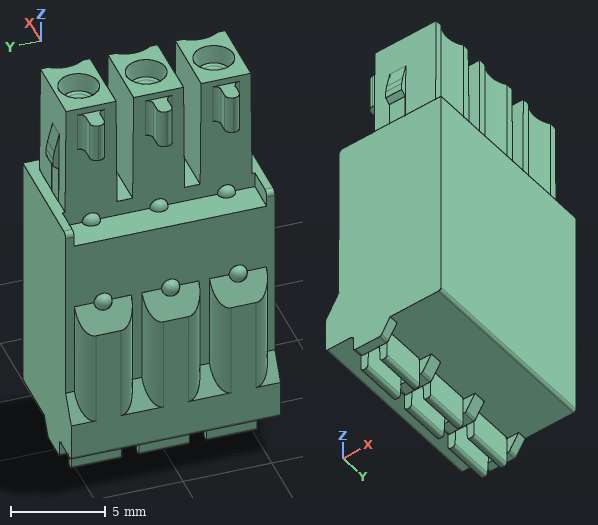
import cadquery as cq
import math


POLES = 3
PITCH = 3.81
POLE_POSITIONS = [(i - (POLES - 1) / 2) * PITCH for i in range(POLES)]

DEPTH = 7.75
WIDTH = 11.82
HOUSING_TOP = 14.25
FRONT_X = 0.9
SLOPE_START_Z = 2.26
SLOPE_END_Z = 3.8
BOTTOM_ROUND = 0.17
TOP_ROUND = 0.3

FOOT_BOTTOM = -1.05
FOOT_FRONT_X = 1.875
FOOT_BACK_TOP_X = 4.35
FOOT_BACK_BOTTOM_X = 3.72
FOOT_ROUND = 0.17
FOOT_SLOT_WIDTH = 3.0

LEG_BOTTOM = -2.05
LEG_WIDTH = 2.85
LEG_THICKNESS = 0.55
LEG_TIP_THICKNESS = 0.45
LEG_PAIR_DEPTH = 1.74
LEG_TIP_ROUND = 0.18

RIB_FLAT = 1.42
RIB_ROUND = FRONT_X
RIB_WIDTH = RIB_FLAT + 2 * RIB_ROUND
RIB_SLOPE_START_Z = 7.85
RIB_TOP_Z = 9.36

LEDGE_Z = 13.35
LEDGE_WIDTH = 10.86
BEAD_RADIUS = 0.5

TOWER_TOP = 20.85
TOWER_FRONT_X = 2.785
TOWER_BACK_X = 6.9
TOWER_TOP_WIDTH = 2.82
TOWER_BASE_WIDTH = 2.93
SCALLOP_HALF_WIDTH = 0.97
SCALLOP_DEPTH = 0.31

SOCKET_X = 4.76
SOCKET_MOUTH_RADIUS = 1.11
SOCKET_WALL_RADIUS = 0.92
SOCKET_STEP_RADIUS = 0.75
SOCKET_FLOOR_RADIUS = 0.58
SOCKET_WALL_DEPTH = 1.0
SOCKET_STEP_DEPTH = 1.08
SOCKET_DEPTH = 1.22

KEY_TOP = 20.47
KEY_BOTTOM = 18.2
KEY_LENGTH = 1.3
KEY_HALF_WIDTH = 0.41
KEY_NOSE_RADIUS = 0.37
KEY_FLARE_RADIUS = 0.34

LATCH_FRONT_X = 3.81
LATCH_WIDTH = 1.07
LATCH_TOP = 18.74
LATCH_KNEE_Z = 17.56
LATCH_CREST_TOP = 17.1
LATCH_CREST_BOTTOM = 16.66
LATCH_BOTTOM = 16.39
LATCH_CREST_Y = 5.6
LATCH_KNEE_Y = 5.52
STRIP_Y = 5.29


def extrude_along_y(profile, width, center_y):
    """Extrude an XZ profile symmetrically about the plane Y = center_y."""
    return profile.extrude(width / 2, both=True).translate((0, center_y, 0))


def make_housing():
    profile = (
        cq.Workplane("XZ")
        .moveTo(0, 0)
        .lineTo(0, SLOPE_START_Z)
        .lineTo(FRONT_X, SLOPE_END_Z)
        .lineTo(FRONT_X, HOUSING_TOP)
        .lineTo(DEPTH, HOUSING_TOP)
        .lineTo(DEPTH, 0)
        .close()
    )
    housing = extrude_along_y(profile, WIDTH, 0)
    housing = housing.faces("<Z").edges("|Y").fillet(BOTTOM_ROUND)
    top_front = cq.selectors.NearestToPointSelector((FRONT_X, 0, HOUSING_TOP))
    housing = housing.edges("|Y").edges(top_front).fillet(TOP_ROUND)
    ledge_cut = (
        cq.Workplane("XY", origin=(0, 0, LEDGE_Z))
        .rect(2 * TOWER_FRONT_X, LEDGE_WIDTH)
        .extrude(HOUSING_TOP - LEDGE_Z)
    )
    return housing.cut(ledge_cut)


def make_foot():
    diagonal = FOOT_ROUND * math.sqrt(0.5)
    profile = (
        cq.Workplane("XZ")
        .moveTo(FOOT_FRONT_X - FOOT_ROUND, 0)
        .threePointArc(
            (FOOT_FRONT_X - FOOT_ROUND + diagonal, diagonal - FOOT_ROUND),
            (FOOT_FRONT_X, -FOOT_ROUND),
        )
        .lineTo(FOOT_FRONT_X, FOOT_BOTTOM)
        .lineTo(FOOT_BACK_BOTTOM_X, FOOT_BOTTOM)
        .lineTo(FOOT_BACK_TOP_X, 0)
        .close()
    )
    foot = extrude_along_y(profile, WIDTH, 0)
    foot = foot.faces("<Z").edges("|Y").fillet(FOOT_ROUND)
    for y in POLE_POSITIONS:
        slot = (
            cq.Workplane("XY", origin=(0, y, FOOT_BOTTOM))
            .rect(2 * DEPTH, FOOT_SLOT_WIDTH)
            .extrude(-FOOT_BOTTOM)
        )
        foot = foot.cut(slot)
    return foot


def make_leg(outer_x, inward, y):
    """One contact leg, tapered on its inner side; inward is +1 or -1 along X."""
    profile = cq.Workplane("XZ").polyline([
        (outer_x, 0),
        (outer_x, LEG_BOTTOM),
        (outer_x + inward * LEG_TIP_THICKNESS, LEG_BOTTOM),
        (outer_x + inward * LEG_THICKNESS, 0),
    ]).close()
    leg = extrude_along_y(profile, LEG_WIDTH, y)
    return leg.faces("<Z").edges("|Y").fillet(LEG_TIP_ROUND)


def make_rib(y):
    cross_section = (
        cq.Workplane("XY")
        .center(FRONT_X, y)
        .rect(2 * FRONT_X, RIB_WIDTH)
        .extrude(RIB_TOP_Z)
        .edges("|Z and <X")
        .fillet(RIB_ROUND)
    )
    side_profile = cq.Workplane("XZ").polyline([
        (0, SLOPE_START_Z),
        (0, RIB_SLOPE_START_Z),
        (FRONT_X, RIB_TOP_Z),
        (2 * FRONT_X, RIB_TOP_Z),
        (2 * FRONT_X, SLOPE_START_Z),
    ]).close()
    return cross_section.intersect(extrude_along_y(side_profile, RIB_WIDTH, y))


def make_bead(x, y, z):
    return cq.Workplane("XY", origin=(x, y, z)).sphere(BEAD_RADIUS)


def make_tower(y):
    half_top = TOWER_TOP_WIDTH / 2
    half_base = TOWER_BASE_WIDTH / 2
    tower = (
        cq.Workplane("YZ", origin=(TOWER_FRONT_X, y, 0))
        .polyline([
            (-half_base, HOUSING_TOP),
            (half_base, HOUSING_TOP),
            (half_top, TOWER_TOP),
            (-half_top, TOWER_TOP),
        ])
        .close()
        .extrude(TOWER_BACK_X - TOWER_FRONT_X)
    )
    scallop = (
        cq.Workplane("XY", origin=(TOWER_BACK_X, y, HOUSING_TOP))
        .moveTo(0, -SCALLOP_HALF_WIDTH)
        .threePointArc((-SCALLOP_DEPTH, 0), (0, SCALLOP_HALF_WIDTH))
        .close()
        .extrude(TOWER_TOP - HOUSING_TOP)
    )
    return tower.cut(scallop)


def make_socket(y):
    return (
        cq.Workplane("XZ", origin=(SOCKET_X, y, TOWER_TOP))
        .polyline([
            (0, 0),
            (SOCKET_MOUTH_RADIUS, 0),
            (SOCKET_WALL_RADIUS, -SOCKET_WALL_DEPTH),
            (SOCKET_STEP_RADIUS, -SOCKET_STEP_DEPTH),
            (SOCKET_FLOOR_RADIUS, -SOCKET_DEPTH),
            (0, -SOCKET_DEPTH),
        ])
        .close()
        .revolve(360, (0, 0, 0), (0, 1, 0))
    )


def make_key(y):
    """Round-nosed key with concave flares where it meets the tower front."""
    flare_half_width = KEY_HALF_WIDTH + KEY_FLARE_RADIUS
    flare_middle = KEY_FLARE_RADIUS * (1 - math.sqrt(0.5))
    key = (
        cq.Workplane("XY", origin=(TOWER_FRONT_X, y, KEY_BOTTOM))
        .moveTo(0, -flare_half_width)
        .threePointArc(
            (-flare_middle, -KEY_HALF_WIDTH - flare_middle),
            (-KEY_FLARE_RADIUS, -KEY_HALF_WIDTH),
        )
        .lineTo(-KEY_LENGTH, -KEY_HALF_WIDTH)
        .lineTo(-KEY_LENGTH, KEY_HALF_WIDTH)
        .lineTo(-KEY_FLARE_RADIUS, KEY_HALF_WIDTH)
        .threePointArc(
            (-flare_middle, KEY_HALF_WIDTH + flare_middle),
            (0, flare_half_width),
        )
        .close()
        .extrude(KEY_TOP - KEY_BOTTOM)
    )
    return key.faces("<X").edges("|Z").fillet(KEY_NOSE_RADIUS)


def make_latch():
    """Latch and strip on the +Y flank of the last tower."""
    inner_y = POLE_POSITIONS[-1] + TOWER_TOP_WIDTH / 2
    return (
        cq.Workplane("YZ", origin=(LATCH_FRONT_X, 0, 0))
        .polyline([
            (inner_y, HOUSING_TOP),
            (STRIP_Y, HOUSING_TOP),
            (STRIP_Y, LATCH_BOTTOM),
            (LATCH_CREST_Y, LATCH_CREST_BOTTOM),
            (LATCH_CREST_Y, LATCH_CREST_TOP),
            (LATCH_KNEE_Y, LATCH_KNEE_Z),
            (inner_y, LATCH_TOP),
        ])
        .close()
        .extrude(LATCH_WIDTH)
    )


result = make_housing().union(make_foot())
for pole_y in POLE_POSITIONS:
    result = result.union(make_leg(FOOT_FRONT_X, 1, pole_y))
    result = result.union(make_leg(FOOT_FRONT_X + LEG_PAIR_DEPTH, -1, pole_y))
    result = result.union(make_rib(pole_y))
    result = result.union(make_bead(FRONT_X, pole_y, RIB_TOP_Z))
    result = result.union(make_tower(pole_y))
    result = result.union(make_bead(TOWER_FRONT_X, pole_y, LEDGE_Z))
    result = result.union(make_key(pole_y))
    result = result.cut(make_socket(pole_y))

latch = make_latch()
result = result.union(latch).union(latch.mirror("XZ"))